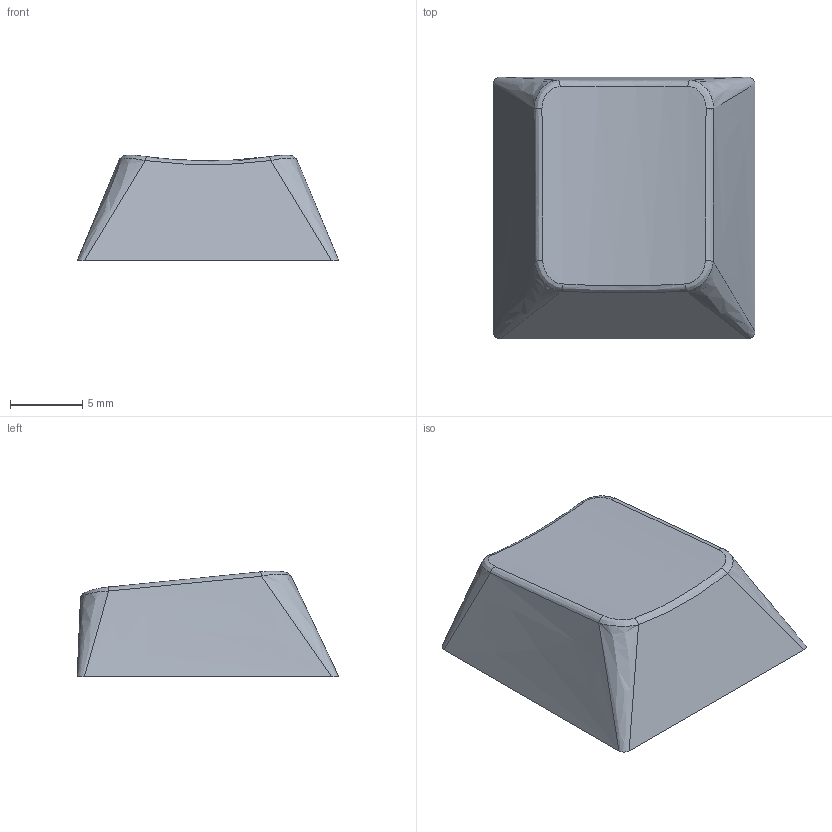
import cadquery as cq
import math

BASE_SIZE = 18.1
BASE_CORNER_RADIUS = 0.5

TOP_WIDTH = 11.8
TOP_LENGTH = 14.2
TOP_CORNER_RADIUS = 2.1
TOP_SHIFT_BACK = 1.72
TOP_TILT = 5.8
TOP_CENTRE_HEIGHT = 7.1

DISH_RADIUS = 31.0
DISH_DEPTH = 0.89
DISH_LENGTH = 60.0

RIM_FILLET = 0.5


def rounded_rectangle(width, length, radius):
    """Rectangle with rounded corners, centred on its origin."""
    return cq.Sketch().rect(width, length).vertices().fillet(radius)


def top_plane():
    """Plane of the top outline, its local Z leaning toward +Y."""
    tilt = math.radians(TOP_TILT)
    return cq.Plane(
        origin=(0, TOP_SHIFT_BACK, TOP_CENTRE_HEIGHT),
        xDir=(1, 0, 0),
        normal=(0, math.sin(tilt), math.cos(tilt)),
    )


def make_body():
    """Tapered body lofted from the base outline to the tilted top outline."""
    base = rounded_rectangle(BASE_SIZE, BASE_SIZE, BASE_CORNER_RADIUS)
    top = rounded_rectangle(TOP_WIDTH, TOP_LENGTH, TOP_CORNER_RADIUS)
    top_location = cq.Location(top_plane())
    return cq.Workplane("XY").placeSketch(base, top.moved(top_location)).loft(ruled=True)


def make_dish():
    """Cylinder parallel to the top plane that hollows the top."""
    plane = top_plane()
    start = plane.toWorldCoords((0, -DISH_LENGTH / 2, DISH_RADIUS - DISH_DEPTH))
    return cq.Workplane(cq.Solid.makeCylinder(DISH_RADIUS, DISH_LENGTH, start, plane.yDir))


def add_rim_fillet(body):
    """Round the edge where the dish meets the sides."""
    top_centre = top_plane().origin.toTuple()
    dish_face = body.faces(cq.selectors.NearestToPointSelector(top_centre))
    return dish_face.edges().fillet(RIM_FILLET)


result = add_rim_fillet(make_body().cut(make_dish()))